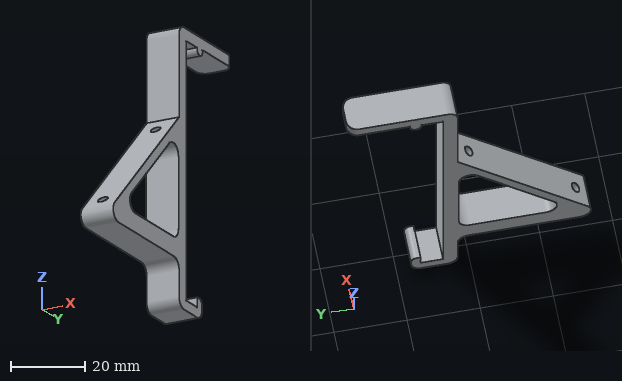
import cadquery as cq
import math

width = 10.0
height = 80.65
arm_reach = 30.0
wall = 4.0
corner_radius = 3.0
bend_radius = 2.8

arm_thickness = 3.3
arm_root_thickness = 3.55
bump_radius = 1.5
bump_y = 11.45
bump_drop = 5.4

hook_reach = 12.75
hook_floor = 3.0
lip_thickness = 2.6
lip_top = 5.9
lip_radius = 1.5

bracket_bottom = 13.5
bracket_top = 54.1
bracket_length = bracket_top - bracket_bottom
window_setback = 0.3
window_bottom = 19.0
slope_bar = 2.7

hole_diameter = 2.8
hole_depth = 8.1
hole_heights = (21.0, 50.2)


def extrude_profile(points):
    """Extrude a closed (Y, Z) outline across the width, centred on X = 0."""
    return cq.Workplane("YZ").polyline(points).close().extrude(width / 2, both=True)


def round_edges(body, corners, radius):
    """Round the edges along X that pass through the given (Y, Z) corners."""
    for y, z in corners:
        edge = cq.selectors.NearestToPointSelector((0, y, z))
        body = body.edges("|X").edges(edge).fillet(radius)
    return body


def make_frame():
    tip = (-bracket_length, bracket_bottom)
    inner_corner = (0, bracket_bottom)
    hook_front = (0, 0)
    hook_back = (hook_reach, 0)
    lip_back = (hook_reach, lip_top)
    top_corner = (0, height)
    lip_inside = hook_reach - lip_thickness
    frame = extrude_profile([
        top_corner,
        (0, bracket_top),
        tip,
        inner_corner,
        hook_front,
        hook_back,
        lip_back,
        (lip_inside, lip_top),
        (lip_inside, hook_floor),
        (wall, hook_floor),
        (wall, height - arm_root_thickness),
        (bump_y, height - arm_root_thickness),
        (bump_y, height - arm_thickness),
        (arm_reach, height - arm_thickness),
        (arm_reach, height),
    ])
    frame = round_edges(frame, [tip, inner_corner], corner_radius)
    frame = round_edges(frame, [top_corner, hook_front, hook_back], bend_radius)
    frame = round_edges(frame, [lip_back], lip_radius)
    return frame.edges("|Z and >Y").fillet(corner_radius)


def make_bump():
    """Retaining bump: a straight neck under the arm with a half-round lower end."""
    neck_top = height - arm_root_thickness / 2
    round_z = height - bump_drop + bump_radius
    return (
        cq.Workplane("YZ")
        .moveTo(bump_y - bump_radius, neck_top)
        .lineTo(bump_y - bump_radius, round_z)
        .threePointArc((bump_y, height - bump_drop), (bump_y + bump_radius, round_z))
        .lineTo(bump_y + bump_radius, neck_top)
        .close()
        .extrude(width / 2, both=True)
    )


def make_window():
    window_top = bracket_top - window_setback - slope_bar * math.sqrt(2)
    window_length = window_top - window_bottom
    window = extrude_profile([
        (-window_setback, window_bottom),
        (-window_setback, window_top),
        (-window_setback - window_length, window_bottom),
    ])
    return window.edges("|X").fillet(corner_radius)


def make_hole(z):
    start = cq.Vector(0, z - bracket_top, z)
    inward = cq.Vector(0, 1, -1)
    return cq.Workplane(cq.Solid.makeCylinder(hole_diameter / 2, hole_depth, start, inward))


result = make_frame().union(make_bump()).cut(make_window())
for hole_z in hole_heights:
    result = result.cut(make_hole(hole_z))